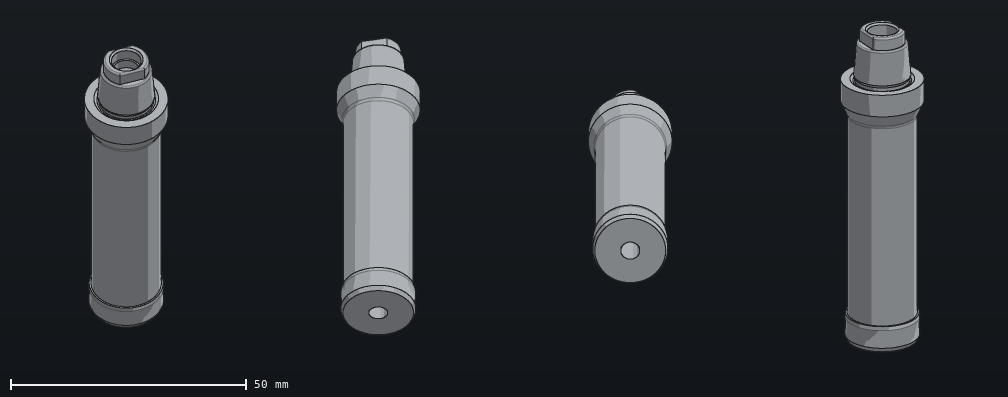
import cadquery as cq

total_height = 71.45
foot_chamfer_top = 1.1
foot_band_top = 5.15
foot_top = 6.0
flare_fillet_bottom = 51.65
flare_fillet_top = 52.4
collar_bottom = 55.0
collar_top = 60.0
neck_top = 60.4
cone_bottom = 60.95
cone_top = 68.6

foot_base_radius = 7.5
foot_radius = 8.0
foot_waist_radius = 7.85
shaft_radius = 7.47
flare_radius = 7.7
collar_radius = 8.895
cone_base_radius = 6.1
cone_top_radius = 5.5
spigot_radius = 4.85

groove_outer_radius = 6.85
groove_floor_radius = 6.2
neck_radius = 5.85
groove_depth = 0.4

flat_spacing = 8.0
spigot_fillet = 0.4
shoulder_fillet = 0.35

bore_chamfer_radius = 3.6
counterbore_radius = 3.15
seat_radius = 2.7
hole_radius = 2.0
counterbore_depth = 2.85
seat_depth = 2.15


def make_body():
    """Foot, shaft, collar and tapered cone, turned about Z."""
    groove_floor = collar_top - groove_depth
    foot_middle = (foot_chamfer_top + foot_band_top) / 2
    profile = (
        cq.Workplane("XZ")
        .moveTo(0, 0)
        .lineTo(foot_base_radius, 0)
        .lineTo(foot_radius, foot_chamfer_top)
        .threePointArc((foot_waist_radius, foot_middle), (foot_radius, foot_band_top))
        .lineTo(foot_waist_radius, foot_top)
        .lineTo(shaft_radius, foot_top)
        .lineTo(shaft_radius, flare_fillet_bottom)
        .tangentArcPoint((flare_radius, flare_fillet_top), relative=False)
        .lineTo(collar_radius, collar_bottom)
        .lineTo(collar_radius, collar_top)
        .lineTo(groove_outer_radius, collar_top)
        .lineTo(groove_floor_radius, groove_floor)
        .lineTo(neck_radius, groove_floor)
        .lineTo(neck_radius, neck_top)
        .lineTo(cone_base_radius, cone_bottom)
        .lineTo(cone_top_radius, cone_top)
        .lineTo(0, cone_top)
        .close()
    )
    body = profile.revolve(360, (0, 0, 0), (0, 1, 0))
    return body.faces(">Z").edges().fillet(shoulder_fillet)


def make_spigot():
    """Round end with two flats facing -X and +X, rounded at the top."""
    height = total_height - cone_top
    spigot = cq.Workplane("XY").workplane(offset=cone_top).circle(spigot_radius).extrude(height)
    flats = (
        cq.Workplane("XY")
        .workplane(offset=cone_top)
        .rect(flat_spacing, 2 * spigot_radius)
        .extrude(height)
    )
    return spigot.intersect(flats).faces(">Z").edges().fillet(spigot_fillet)


def make_bore():
    """Chamfered counterbore, stepped seat with a 45 degree end, and through hole."""
    chamfer_bottom = total_height - (bore_chamfer_radius - counterbore_radius)
    ledge = total_height - counterbore_depth
    seat_bottom = ledge - seat_depth
    seat_cone_bottom = seat_bottom - (seat_radius - hole_radius)
    outline = [
        (0, 0),
        (hole_radius, 0),
        (hole_radius, seat_cone_bottom),
        (seat_radius, seat_bottom),
        (seat_radius, ledge),
        (counterbore_radius, ledge),
        (counterbore_radius, chamfer_bottom),
        (bore_chamfer_radius, total_height),
        (0, total_height),
    ]
    return cq.Workplane("XZ").polyline(outline).close().revolve(360, (0, 0, 0), (0, 1, 0))


result = make_body().union(make_spigot()).cut(make_bore())